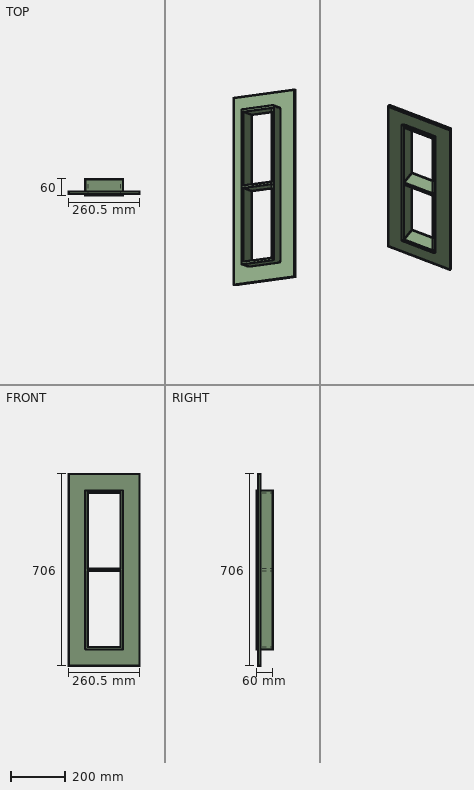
import cadquery as cq

FRAME_WIDTH = 140.5
FRAME_HEIGHT = 586.0
FRAME_DEPTH = 60.0
WALL = 10.0
CORNER_RADIUS = 6.0

FLANGE_MARGIN = 60.0
FLANGE_THICKNESS = 10.0
FRONT_PROTRUSION = 5.0

FLANGE_WIDTH = FRAME_WIDTH + 2 * FLANGE_MARGIN
FLANGE_HEIGHT = FRAME_HEIGHT + 2 * FLANGE_MARGIN
OPENING_WIDTH = FRAME_WIDTH - 2 * WALL
OPENING_HEIGHT = (FRAME_HEIGHT - 3 * WALL) / 2
OPENING_OFFSET = (OPENING_HEIGHT + WALL) / 2


def block_along_y(width, height, front, depth):
    """Box centred on X and Z, starting at Y = front and running toward +Y."""
    return cq.Workplane("XY").box(width, depth, height).translate((0, front + depth / 2, 0))


def make_frame():
    """Outer body of the frame, with its four long edges rounded."""
    body = block_along_y(FRAME_WIDTH, FRAME_HEIGHT, 0, FRAME_DEPTH)
    return body.edges("|Y").fillet(CORNER_RADIUS)


def make_flange():
    """Flat plate around the frame, set back from the frame's front face."""
    return block_along_y(FLANGE_WIDTH, FLANGE_HEIGHT, FRONT_PROTRUSION, FLANGE_THICKNESS)


def make_opening(center_z):
    """Cutter for one sharp-cornered opening through the full frame depth."""
    return block_along_y(OPENING_WIDTH, OPENING_HEIGHT, 0, FRAME_DEPTH).translate((0, 0, center_z))


result = make_frame().union(make_flange())

for center_z in (-OPENING_OFFSET, OPENING_OFFSET):
    result = result.cut(make_opening(center_z))